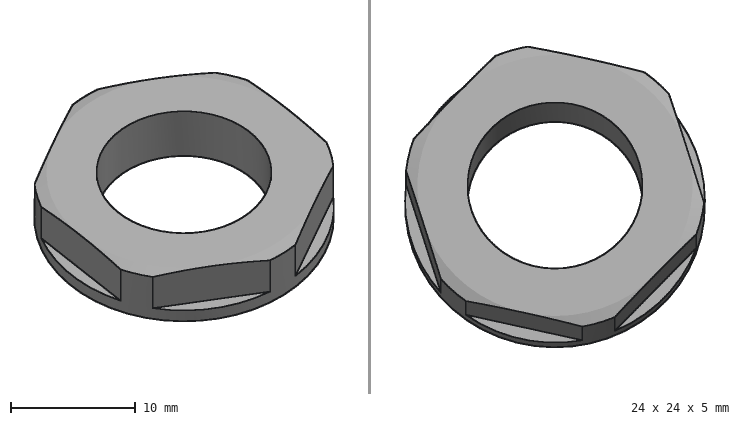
import cadquery as cq
import math

outer_diameter = 24.0
bore_diameter = 14.0
across_flats = 22.0
height = 5.0
flange_height = 1.22
chamfer_height = 0.3

outer_radius = outer_diameter / 2
across_corners = across_flats / math.cos(math.pi / 6)
chamfer_width = (outer_diameter - across_flats) / 2


def chamfered_disc():
    """Round blank with a shallow chamfer around its top edge."""
    blank = cq.Workplane("XY").circle(outer_radius).extrude(height)
    return blank.faces(">Z").edges().chamfer(chamfer_height, chamfer_width)


def wrench_envelope():
    """Full-round flange below a hexagon with flats facing +Y and -Y."""
    flange = cq.Workplane("XY").circle(outer_radius).extrude(flange_height)
    hexagon = (
        cq.Workplane("XY")
        .workplane(offset=flange_height)
        .polygon(6, across_corners)
        .extrude(height - flange_height)
    )
    return flange.union(hexagon)


nut = chamfered_disc().intersect(wrench_envelope())

bore = cq.Workplane("XY").circle(bore_diameter / 2).extrude(height)
result = nut.cut(bore)